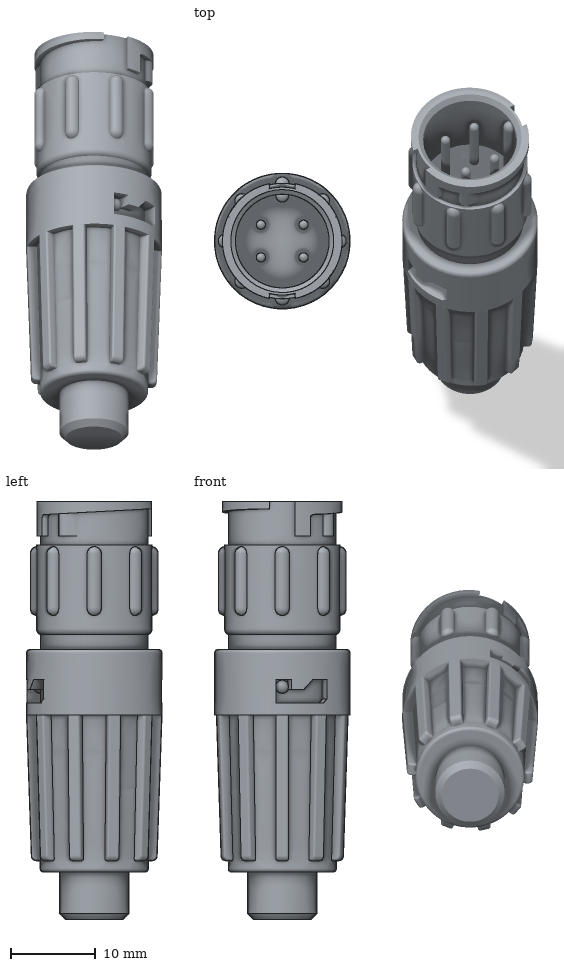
import cadquery as cq
import math

total_height = 49.3
core_r = 6.35

tail_r = 4.1
tail_chamfer = 0.75

grip_bottom_z = 5.6
grip_bottom_r = core_r
grip_top_r = 6.85
grip_fillet = 0.4

collar_bottom_z = 24.1
collar_top_z = 31.85
collar_r = 8.0
collar_fillet = 0.45

sleeve_bottom_z = 33.6
sleeve_top_z = 44.2
sleeve_r = 6.8
sleeve_fillet = 0.7

grip_rib_count = 10
grip_rib_width = 1.5
grip_rib_bottom_z = 6.95
grip_rib_bottom_r = 7.4
grip_rib_root_r = 5.43
grip_rib_end_fillet = 0.6
grip_rib_edge_fillet = 0.25

sleeve_rib_count = 8
sleeve_rib_r = 0.85
sleeve_rib_axis_r = 6.7
sleeve_rib_low_z = 36.7
sleeve_rib_high_z = 43.15

rim_r = 6.9
rim_offset = 0.15
rim_gap_half = 1.55
rim_mid_z = 48.1
rim_slope = 0.054
stop_outer_x = 3.3
stop_bottom_z = 45.25
stop_fillet = 0.45
detent_flat_x = 6.0
detent_root_y = 1.5
detent_shoulder_y = 3.35
detent_tip_x = 4.85

socket_r = 5.5
socket_depth = 9.85
socket_lead_in = 0.55
pin_r = 0.55
pin_x = 2.5
pin_y = 1.9
pin_dome_z = 46.7
key_r = 0.75
key_y = 5.35
key_dome_z = 47.65

window_angle = 18.0
window_half_width = 3.15
window_bottom_z = 25.55
window_top_z = 28.3
window_tooth_z = 27.15
window_tooth_left = -1.4
window_tooth_right = 0.05
window_tooth_top = 1.25
window_corner = 0.5
stud_r = 0.8
stud_z = 27.45


def disc(radius, z_low, z_high):
    return cq.Workplane("XY").workplane(offset=z_low).circle(radius).extrude(z_high - z_low)


def cone(low_r, high_r, z_low, z_high):
    low_end = cq.Workplane("XY").workplane(offset=z_low).circle(low_r)
    return low_end.workplane(offset=z_high - z_low).circle(high_r).loft()


def domed_rod(x, y, radius, z_low, z_dome):
    """Upright rod whose top is a hemisphere centred at z_dome."""
    dome = cq.Workplane("XY").sphere(radius).translate((x, y, z_dome))
    return disc(radius, z_low, z_dome).translate((x, y, 0)).union(dome)


def spun(shape, angle):
    return shape.rotate((0, 0, 0), (0, 0, 1), angle)


def make_body():
    tail = disc(tail_r, 0, grip_bottom_z).faces("<Z").chamfer(tail_chamfer)
    grip = cone(grip_bottom_r, grip_top_r, grip_bottom_z, collar_bottom_z)
    grip = grip.faces("<Z").edges().fillet(grip_fillet)
    collar = disc(collar_r, collar_bottom_z, collar_top_z).faces(">Z").edges().fillet(collar_fillet)
    core = disc(core_r, collar_bottom_z, total_height)
    sleeve = disc(sleeve_r, sleeve_bottom_z, sleeve_top_z).faces("<Z").edges().fillet(sleeve_fillet)
    return tail.union(grip).union(collar).union(core).union(sleeve)


def make_grip_rib():
    """Rib on the +X side; its outer face widens up to the collar."""
    rib = (
        cq.Workplane("XZ")
        .polyline([
            (grip_rib_root_r, grip_rib_bottom_z),
            (grip_rib_bottom_r, grip_rib_bottom_z),
            (collar_r, collar_bottom_z),
            (grip_rib_root_r, collar_bottom_z),
        ])
        .close()
        .extrude(grip_rib_width / 2, both=True)
    )
    rib = rib.faces("<Z").edges(">X").fillet(grip_rib_end_fillet)
    exposed = cq.selectors.BoxSelector(
        (grip_rib_root_r + grip_rib_edge_fillet, -grip_rib_width, grip_rib_bottom_z - grip_rib_edge_fillet),
        (collar_r, grip_rib_width, collar_bottom_z - grip_rib_edge_fillet),
    )
    return rib.edges(exposed).edges("not(|Y)").fillet(grip_rib_edge_fillet)


def make_sleeve_rib():
    rib = domed_rod(sleeve_rib_axis_r, 0, sleeve_rib_r, sleeve_rib_low_z, sleeve_rib_high_z)
    low_end = cq.Workplane("XY").sphere(sleeve_rib_r).translate((sleeve_rib_axis_r, 0, sleeve_rib_low_z))
    return rib.union(low_end)


def make_rim_half():
    """Half flange on the +X side, with its stop and its detent ridge."""
    ring = disc(rim_r, stop_bottom_z, total_height).translate((rim_offset, 0, 0))
    ring = ring.cut(disc(socket_r, stop_bottom_z, total_height))
    reach = rim_r + rim_offset
    rise = rim_slope * reach
    flange_side = (
        cq.Workplane("YZ").workplane(offset=rim_gap_half)
        .polyline([
            (-reach, rim_mid_z - rise),
            (reach, rim_mid_z + rise),
            (reach, total_height),
            (-reach, total_height),
        ])
        .close()
        .extrude(reach)
    )
    stop_side = (
        cq.Workplane("XY").workplane(offset=stop_bottom_z)
        .moveTo(rim_gap_half, -reach).lineTo(stop_outer_x, -reach)
        .lineTo(stop_outer_x, 0).lineTo(rim_gap_half, 0).close()
        .extrude(total_height - stop_bottom_z)
    )
    stop_corner = cq.selectors.NearestToPointSelector((stop_outer_x, -reach / 2, rim_mid_z - rise / 2))
    sides = flange_side.union(stop_side).edges(stop_corner).fillet(stop_fillet)
    return ring.intersect(sides).union(make_detent())


def make_detent():
    """Ridge with a flat face toward +X, rounded back into the core toward -Y."""
    tip_y = -math.sqrt(core_r**2 - detent_tip_x**2)
    return (
        cq.Workplane("XY").workplane(offset=stop_bottom_z)
        .moveTo(detent_flat_x, -detent_root_y)
        .lineTo(detent_flat_x, -detent_shoulder_y)
        .tangentArcPoint((detent_tip_x, tip_y), relative=False)
        .close()
        .extrude(rim_mid_z - stop_bottom_z)
    )


def make_socket():
    bore = disc(socket_r, total_height - socket_depth, total_height)
    lead_in = cone(socket_r, socket_r + socket_lead_in, total_height - socket_lead_in, total_height)
    return bore.union(lead_in)


def make_window():
    """Stepped window on the -Y side, cut through the collar down to the core."""
    window = (
        cq.Workplane("XZ")
        .polyline([
            (-window_half_width, window_bottom_z),
            (window_half_width - window_corner, window_bottom_z),
            (window_half_width, window_bottom_z + window_corner),
            (window_half_width, window_top_z),
            (window_tooth_top, window_top_z),
            (window_tooth_right, window_tooth_z),
            (window_tooth_left, window_tooth_z),
            (window_tooth_left, window_top_z),
            (-window_half_width, window_top_z),
        ])
        .close()
        .extrude(collar_r)
    )
    return spun(window.cut(disc(core_r, window_bottom_z, window_top_z)), window_angle)


result = make_body()

grip_rib = make_grip_rib()
for i in range(grip_rib_count):
    result = result.union(spun(grip_rib, -90 + i * 360 / grip_rib_count))

sleeve_rib = make_sleeve_rib()
for i in range(sleeve_rib_count):
    result = result.union(spun(sleeve_rib, i * 360 / sleeve_rib_count))

rim_half = make_rim_half()
window = make_window()
stud = cq.Workplane("XY").sphere(stud_r).translate((0, -core_r, stud_z))
for angle in (0, 180):
    result = result.union(spun(rim_half, angle))
    result = result.cut(spun(window, angle)).union(spun(stud, angle))

result = result.cut(make_socket())

socket_floor_z = total_height - socket_depth
for x in (-pin_x, pin_x):
    for y in (-pin_y, pin_y):
        result = result.union(domed_rod(x, y, pin_r, socket_floor_z, pin_dome_z))
result = result.union(domed_rod(0, key_y, key_r, socket_floor_z, key_dome_z))